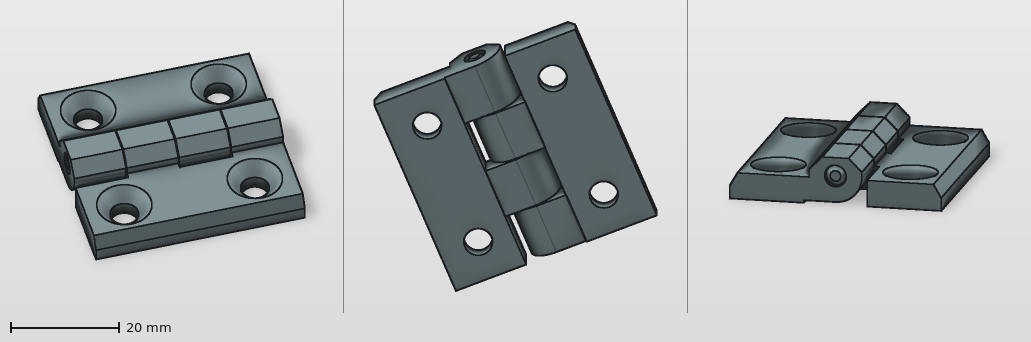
import cadquery as cq
import math

hinge_width = 40.0
hinge_length = 40.0
leaf_thickness = 5.0
half_width = hinge_width / 2
half_length = hinge_length / 2

bevel_width = 1.45
bevel_height = leaf_thickness / 2

knuckle_count = 4
knuckle_radius = 5.0
knuckle_gap = 0.2
knuckle_lift = leaf_thickness / 10
hinge_height = 9.0
knuckle_chamfer = knuckle_radius / 2
knuckle_pitch = hinge_length / knuckle_count
axis_height = knuckle_lift + knuckle_radius
slot_reach = 6.0

screw_spacing = 25.0
screw_diameter = 5.3
countersink_diameter = 10.2
countersink_angle = 90.0

pin_diameter = 4.0
turning_bore_diameter = 4.1
pin_chamfer = 1.0
pin_count = 2
pin_length = hinge_length / pin_count


def leaf_blank():
    """Full-length plate with one unbroken knuckle along the hinge axis."""
    arc_middle = knuckle_radius * math.sqrt(0.5)
    profile = (
        cq.Workplane("XZ", origin=(0, half_length, 0))
        .moveTo(-half_width, 0)
        .lineTo(-slot_reach, 0)
        .lineTo(-slot_reach, knuckle_lift)
        .lineTo(0, knuckle_lift)
        .threePointArc((arc_middle, axis_height - arc_middle), (knuckle_radius, axis_height))
        .lineTo(knuckle_radius, hinge_height - knuckle_chamfer)
        .lineTo(knuckle_radius - knuckle_chamfer, hinge_height)
        .lineTo(knuckle_chamfer - knuckle_radius, hinge_height)
        .lineTo(-knuckle_radius, hinge_height - knuckle_chamfer)
        .lineTo(-knuckle_radius, leaf_thickness)
        .lineTo(bevel_width - half_width, leaf_thickness)
        .lineTo(-half_width, bevel_height)
        .close()
    )
    return profile.extrude(hinge_length)


def knuckle_slots():
    """Spaces for the other leaf's knuckles: every second pitch, with half the gap at each end."""
    slot_width = slot_reach + knuckle_radius
    slots = cq.Workplane("XY")
    for index in range(1, knuckle_count, 2):
        slot_middle = -half_length + (index + 0.5) * knuckle_pitch
        slot = (
            cq.Workplane("XY")
            .box(slot_width, knuckle_pitch + knuckle_gap, hinge_height, centered=(False, True, False))
            .translate((-slot_reach, slot_middle, 0))
        )
        slots = slots.add(slot)
    return slots.combine()


def axis_cylinder(diameter, start, length):
    """Cylinder on the hinge axis, from Y = start toward +Y."""
    return (
        cq.Workplane("XZ", origin=(0, start + length, axis_height))
        .circle(diameter / 2)
        .extrude(length)
    )


def pin_bores():
    """Clearance bore for the end knuckle at -Y, and a tight one for the inner knuckle at +Y."""
    turning_bore = axis_cylinder(turning_bore_diameter, -half_length, half_length)
    tight_bore = axis_cylinder(pin_diameter, 0, half_length)
    return turning_bore.union(tight_bore)


def drill_screw_holes(leaf):
    """Countersink two through holes into the leaf from above."""
    screw_points = [(-screw_spacing / 2, side * screw_spacing / 2) for side in (-1, 1)]
    return (
        leaf.copyWorkplane(cq.Workplane("XY", origin=(0, 0, leaf_thickness)))
        .pushPoints(screw_points)
        .cskHole(screw_diameter, countersink_diameter, countersink_angle)
    )


def make_leaf():
    """The leaf on the -X side, whose first knuckle is at the -Y end."""
    return drill_screw_holes(leaf_blank().cut(knuckle_slots()).cut(pin_bores()))


def make_pin(start):
    """A pin with cone-shaped ends, lying in the knuckles from Y = start."""
    return (
        axis_cylinder(pin_diameter, start, pin_length)
        .faces("<Y or >Y")
        .edges()
        .chamfer(pin_chamfer)
    )


leaves = []
for turn in (0, 180):
    leaf = make_leaf().rotate((0, 0, 0), (0, 0, 1), turn)
    leaves.append(leaf.val())

pins = []
for index in range(pin_count):
    pin = make_pin(-half_length + index * pin_length)
    pins.append(pin.val())

result = cq.Compound.makeCompound([*leaves, *pins])